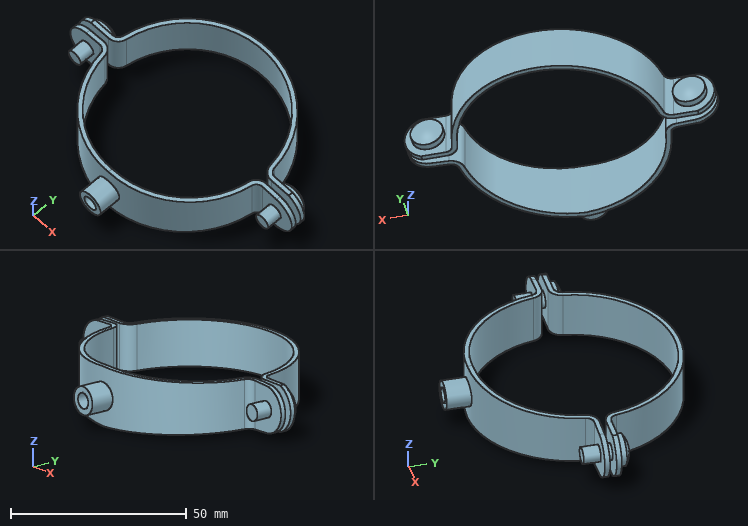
import cadquery as cq
import math

length = 91.0
ring_radius = 31.4
strap = 1.55
gap = 1.9
bend_radius = 2.4
strap_width = 14.0
rear_tip_radius = 7.5
front_tip_radius = 7.1
front_width = 18.0
front_lug_width = 14.2

screw_x = 38.5
shank_diameter = 5.0
screw_tip_y = -7.55
head_diameter = 9.6
head_height = 2.1
dome_height = 1.6

boss_diameter = 8.55
boss_hole_diameter = 4.7
boss_end_y = -38.5

half_length = length / 2
lug_inner_y = gap / 2
lug_outer_y = lug_inner_y + strap


def bent_strap():
    """Rear half of the bent strap, cut from a tall extrusion of its edge outline."""
    bend_y = lug_outer_y + bend_radius
    bend_x = math.sqrt((ring_radius + bend_radius) ** 2 - bend_y ** 2)
    ring_angle = math.atan2(bend_y, bend_x)
    middle_angle = (ring_angle + math.pi + 1.5 * math.pi) / 2
    inner_radius = ring_radius - strap
    outer_bend = bend_radius + strap

    def on_ring(radius):
        return radius * math.cos(ring_angle), radius * math.sin(ring_angle)

    def on_bend(radius):
        return bend_x + radius * math.cos(middle_angle), bend_y + radius * math.sin(middle_angle)

    def mirrored(point):
        return -point[0], point[1]

    outline = (
        cq.Workplane("XY")
        .moveTo(half_length, lug_inner_y)
        .lineTo(half_length, lug_outer_y)
        .lineTo(bend_x, lug_outer_y)
        .threePointArc(on_bend(bend_radius), on_ring(ring_radius))
        .threePointArc((0, ring_radius), mirrored(on_ring(ring_radius)))
        .threePointArc(mirrored(on_bend(bend_radius)), (-bend_x, lug_outer_y))
        .lineTo(-half_length, lug_outer_y)
        .lineTo(-half_length, lug_inner_y)
        .lineTo(-bend_x, lug_inner_y)
        .threePointArc(mirrored(on_bend(outer_bend)), mirrored(on_ring(inner_radius)))
        .threePointArc((0, inner_radius), on_ring(inner_radius))
        .threePointArc(on_bend(outer_bend), (bend_x, lug_inner_y))
        .close()
    )
    return outline.extrude(front_width / 2, both=True)


def along_y(sketch):
    """Extrude an XZ outline far enough to pass through the whole clamp along Y."""
    return sketch.extrude(length, both=True)


def trim_strap(blank, middle_width, lug_width, tip_radius):
    """Trim to a width that tapers from the middle to the lugs, round the tips and drill the lugs."""
    lug_center_x = half_length - tip_radius
    end_width = middle_width + (lug_width - middle_width) * half_length / lug_center_x
    upper_edge = [(-half_length, end_width / 2), (0, middle_width / 2), (half_length, end_width / 2)]
    lower_edge = [(x, -z) for x, z in reversed(upper_edge)]
    taper = along_y(cq.Workplane("XZ").polyline(upper_edge + lower_edge).close())
    tips = along_y(
        cq.Workplane("XZ").pushPoints([(-lug_center_x, 0), (lug_center_x, 0)]).circle(tip_radius)
    )
    center = along_y(cq.Workplane("XZ").rect(2 * lug_center_x, front_width))
    holes = along_y(
        cq.Workplane("XZ").pushPoints([(-screw_x, 0), (screw_x, 0)]).circle(shank_diameter / 2)
    )
    return blank.intersect(taper).intersect(center.union(tips)).cut(holes)


def make_rear_half():
    return trim_strap(bent_strap(), strap_width, strap_width, rear_tip_radius)


def make_front_half():
    """Tapered strap with a hollow boss whose bore stops at the outside of the strap."""
    band = trim_strap(bent_strap().mirror("XZ"), front_width, front_lug_width, front_tip_radius)
    ring_core = cq.Workplane("XY").circle(ring_radius).extrude(front_width / 2, both=True)
    boss = (
        cq.Workplane("XZ", origin=(0, boss_end_y, 0))
        .circle(boss_diameter / 2)
        .circle(boss_hole_diameter / 2)
        .extrude(boss_end_y + ring_radius - strap)
        .cut(ring_core)
    )
    return band.union(boss)


def make_screw(x):
    """Domed screw whose head seats on the rear lug."""
    head_top_y = lug_outer_y + head_height
    dome_radius = ((head_diameter / 2) ** 2 + dome_height ** 2) / (2 * dome_height)
    dome_top_y = head_top_y + dome_height
    half_angle = math.asin(head_diameter / 2 / dome_radius) / 2
    dome_middle = (
        dome_radius * math.sin(half_angle),
        dome_top_y - dome_radius * (1 - math.cos(half_angle)),
    )
    return (
        cq.Workplane("XY")
        .moveTo(0, screw_tip_y)
        .lineTo(shank_diameter / 2, screw_tip_y)
        .lineTo(shank_diameter / 2, lug_outer_y)
        .lineTo(head_diameter / 2, lug_outer_y)
        .lineTo(head_diameter / 2, head_top_y)
        .threePointArc(dome_middle, (0, dome_top_y))
        .close()
        .revolve(360, (0, 0, 0), (0, 1, 0))
        .translate((x, 0, 0))
    )


rear_half = make_rear_half()
front_half = make_front_half()
screws = [make_screw(x) for x in (-screw_x, screw_x)]

result = cq.Compound.makeCompound(
    [rear_half.val(), front_half.val(), *[screw.val() for screw in screws]]
)